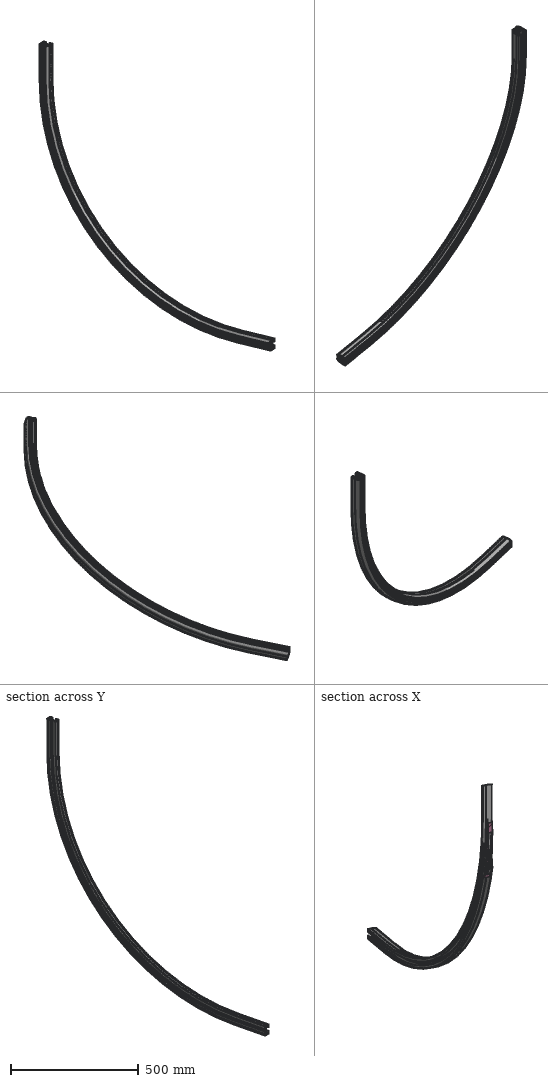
import cadquery as cq
import math

OVERALL = 1070.0
STRAIGHT = 150.0
OUTER_RADIUS = OVERALL - STRAIGHT
BREADTH = 42.0
HEIGHT = 43.0

HALF = BREADTH / 2
WALL = 3.0

CORNER_START = 26.0
CORNER_INSET = 10.0
CORNER_DROP = HEIGHT - CORNER_START
CORNER_RADIUS = (CORNER_INSET**2 + CORNER_DROP**2) / (2 * CORNER_INSET)
CORNER_ANGLE = math.asin(CORNER_DROP / CORNER_RADIUS)
FLAT_WIDTH = BREADTH - 2 * CORNER_INSET

SLOT_OPENING = 16.0
SLOT_WIDTH = BREADTH - 2 * WALL
SLOT_FLOOR = 15.0

CHANNEL_WIDTH = 21.0
CHANNEL_TOP = 26.0
CHANNEL_LIP = 40.0
CHANNEL_OPENING = 6.0
RECESS_DEPTH = 1.0

THIN_WALL = 2.0
HOLLOW_TOP = SLOT_FLOOR + WALL
HOLLOW_FLOOR = CHANNEL_TOP - THIN_WALL
HOLLOW_INNER = CHANNEL_OPENING / 2 + THIN_WALL
LEG_INNER = CHANNEL_WIDTH / 2 + THIN_WALL
HOLLOW_OUTER = HALF - WALL
HOLLOW_RADIUS = CORNER_RADIUS - WALL
LEG_ANGLE = math.acos(1 - (HOLLOW_OUTER - LEG_INNER) / HOLLOW_RADIUS)


def point(across, depth):
    """Section point as (X, Y) at the upright end; the outer side of the bend lies on X = 0."""
    return (HALF + across, HEIGHT / 2 - depth)


def corner_point(side, radius, angle):
    """Point on an arc about the centre of a rounded corner; angle 0 is where the flat side ends."""
    across = HALF - CORNER_RADIUS + radius * math.cos(angle)
    return point(side * across, CORNER_START + radius * math.sin(angle))


def box(width, top, bottom):
    """Rectangle on the mid-line, between two depths."""
    return cq.Sketch().push([point(0, (top + bottom) / 2)]).rect(width, bottom - top)


def outline():
    """Square at the +Y side, with rounded corners at the -Y side."""
    wire = (
        cq.Workplane("XY")
        .moveTo(*point(-HALF, 0))
        .lineTo(*point(HALF, 0))
        .lineTo(*point(HALF, CORNER_START))
        .threePointArc(corner_point(1, CORNER_RADIUS, CORNER_ANGLE / 2), point(FLAT_WIDTH / 2, HEIGHT))
        .lineTo(*point(-FLAT_WIDTH / 2, HEIGHT))
        .threePointArc(corner_point(-1, CORNER_RADIUS, CORNER_ANGLE / 2), point(-HALF, CORNER_START))
        .close()
    )
    return cq.Sketch().face(wire.val())


def hollow(side):
    """Closed hollow whose leg tapers to a point between the channel and the rounded corner."""
    wire = (
        cq.Workplane("XY")
        .moveTo(*point(side * HOLLOW_INNER, HOLLOW_TOP))
        .lineTo(*point(side * HOLLOW_OUTER, HOLLOW_TOP))
        .lineTo(*point(side * HOLLOW_OUTER, CORNER_START))
        .threePointArc(
            corner_point(side, HOLLOW_RADIUS, LEG_ANGLE / 2),
            corner_point(side, HOLLOW_RADIUS, LEG_ANGLE),
        )
        .lineTo(*point(side * LEG_INNER, HOLLOW_FLOOR))
        .lineTo(*point(side * HOLLOW_INNER, HOLLOW_FLOOR))
        .close()
    )
    return cq.Sketch().face(wire.val())


def section():
    """Outline less the two T-slots and the closed hollows."""
    cuts = [
        box(SLOT_OPENING, 0, WALL),
        box(SLOT_WIDTH, WALL, SLOT_FLOOR),
        box(CHANNEL_OPENING, HOLLOW_TOP, HEIGHT),
        box(CHANNEL_WIDTH, CHANNEL_TOP, CHANNEL_LIP),
        box(CHANNEL_WIDTH, HEIGHT - RECESS_DEPTH, HEIGHT),
        hollow(-1),
        hollow(1),
    ]
    profile = outline()
    for cut in cuts:
        profile = profile.face(cut, mode="s")
    return profile.clean()


start = cq.Workplane("XY", origin=(0, 0, OUTER_RADIUS)).placeSketch(section())
upright = start.extrude(STRAIGHT)
bend = start.revolve(90, (OUTER_RADIUS, 0, 0), (OUTER_RADIUS, -1, 0))
level = start.extrude(-STRAIGHT).rotate(
    (OUTER_RADIUS, 0, OUTER_RADIUS), (OUTER_RADIUS, -1, OUTER_RADIUS), 90
)

result = upright.union(bend).union(level)